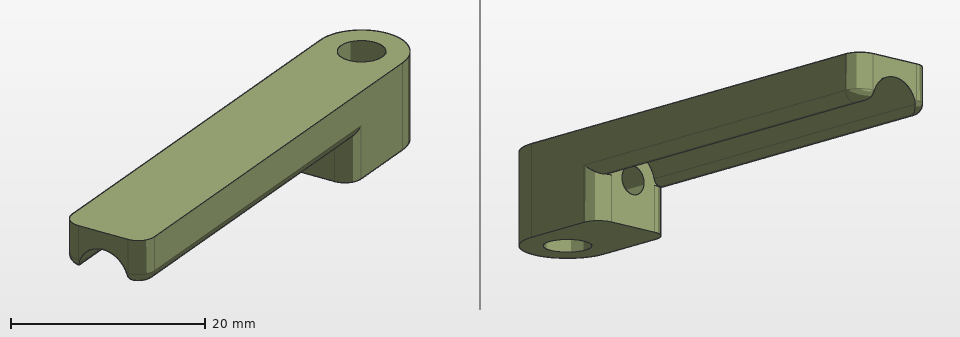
import cadquery as cq
import math

LENGTH = 55.0
WIDTH = 10.0
HEIGHT = 10.0
END_RADIUS = WIDTH / 2

BLOCK_LENGTH = 15.0
CORNER_RADIUS = 2.0
ARM_THICKNESS = HEIGHT / 2
OUTER_LIP_RADIUS = 1.1
INNER_LIP_RADIUS = 0.9

PIVOT_DIAMETER = 5.0
CROSS_HOLE_DIAMETER = 3.1
GROOVE_RADIUS = 3.0

BACK_Y = END_RADIUS
TIP_Y = BACK_Y - LENGTH
BLOCK_FRONT_Y = BACK_Y - BLOCK_LENGTH
ARM_BOTTOM_Z = HEIGHT - ARM_THICKNESS
AXIS_Z = HEIGHT / 2


def rounded_bar(front_y, bottom_z, height):
    """Bar with a half-round back end around the pivot and rounded front corners."""
    return (
        cq.Workplane("XY", origin=(0, 0, bottom_z))
        .moveTo(-END_RADIUS, 0)
        .threePointArc((0, BACK_Y), (END_RADIUS, 0))
        .lineTo(END_RADIUS, front_y)
        .lineTo(-END_RADIUS, front_y)
        .close()
        .extrude(height)
        .edges("|Z and <Y")
        .fillet(CORNER_RADIUS)
    )


def groove_cutter():
    """Half-round groove whose mouth flares into the arm's underside through tangent arcs."""
    flare_x = math.sqrt((GROOVE_RADIUS + INNER_LIP_RADIUS) ** 2 - INNER_LIP_RADIUS**2)
    flare_z = INNER_LIP_RADIUS
    angle = math.atan2(flare_z, flare_x)
    meet_x = GROOVE_RADIUS * math.cos(angle)
    meet_z = GROOVE_RADIUS * math.sin(angle)
    middle_angle = (angle + math.pi / 2) / 2
    middle_x = flare_x - INNER_LIP_RADIUS * math.cos(middle_angle)
    middle_z = flare_z - INNER_LIP_RADIUS * math.sin(middle_angle)
    return (
        cq.Workplane("XZ", origin=(0, BLOCK_FRONT_Y, AXIS_Z))
        .moveTo(-flare_x, 0)
        .threePointArc((-middle_x, middle_z), (-meet_x, meet_z))
        .threePointArc((0, GROOVE_RADIUS), (meet_x, meet_z))
        .threePointArc((middle_x, middle_z), (flare_x, 0))
        .close()
        .extrude(BLOCK_FRONT_Y - TIP_Y)
    )


arm = (
    rounded_bar(TIP_Y, ARM_BOTTOM_Z, ARM_THICKNESS)
    .faces("<Z")
    .edges()
    .fillet(OUTER_LIP_RADIUS)
    .cut(groove_cutter())
)

block = rounded_bar(BLOCK_FRONT_Y, 0, HEIGHT)

pivot_hole = cq.Workplane("XY").circle(PIVOT_DIAMETER / 2).extrude(HEIGHT)
cross_hole = (
    cq.Workplane("XZ", origin=(0, 0, AXIS_Z))
    .circle(CROSS_HOLE_DIAMETER / 2)
    .extrude(-BLOCK_FRONT_Y)
)

result = arm.union(block).cut(pivot_hole).cut(cross_hole)